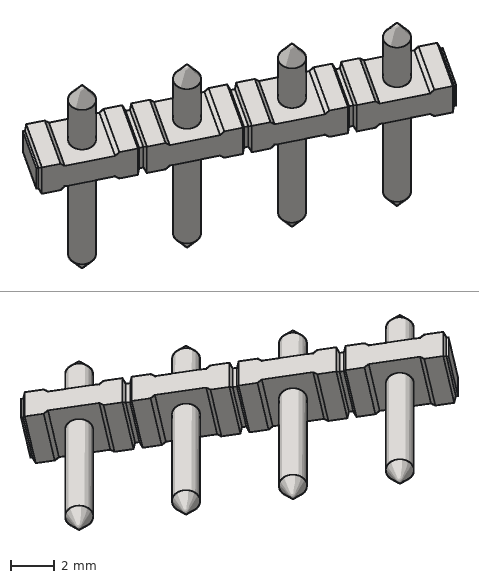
import cadquery as cq
import math

pin_count = 4
pitch = 5.0

block_width = 2.8
block_height = 1.8
neck_length = 0.1
bevel_inset = 0.2
bevel_angle = 30.0
groove_depth = 0.2
groove_floor = 2.4
groove_mouth = groove_floor + 2 * groove_depth

pin_diameter = 1.3
pin_length = 12.5
tip_length = 1.0
pin_above_block = 3.5

row_length = pin_count * pitch
neck_width = block_width - 2 * bevel_inset
neck_height = block_height - 2 * bevel_inset
bevel_length = bevel_inset * math.tan(math.radians(bevel_angle))
body_length = pitch - 2 * (neck_length + bevel_length)
pin_top = block_height / 2 + pin_above_block
pin_bottom = pin_top - pin_length


def end_bevel(side):
    """Truncated pyramid from the block body out to the neck; side is +1 or -1 along Y."""
    return (
        cq.Workplane("XZ", origin=(0, side * body_length / 2, 0))
        .rect(block_width, block_height)
        .workplane(offset=-side * bevel_length)
        .rect(neck_width, neck_height)
        .loft(ruled=True)
    )


def groove(side):
    """Trapezoidal groove across the block; side is +1 for the top face, -1 for the bottom."""
    surface = side * block_height / 2
    floor = surface - side * groove_depth
    return (
        cq.Workplane("YZ")
        .polyline([
            (-groove_mouth / 2, surface),
            (-groove_floor / 2, floor),
            (groove_floor / 2, floor),
            (groove_mouth / 2, surface),
        ])
        .close()
        .extrude(block_width / 2, both=True)
    )


def block():
    """Block body with beveled ends and a groove in the top and bottom faces."""
    body = cq.Workplane("XY").box(block_width, body_length, block_height)
    for side in (1, -1):
        body = body.union(end_bevel(side)).cut(groove(side))
    return body


def pin():
    """Round pin with a conical point at both ends, revolved about Z."""
    radius = pin_diameter / 2
    return (
        cq.Workplane("XZ")
        .polyline([
            (0, pin_bottom),
            (radius, pin_bottom + tip_length),
            (radius, pin_top - tip_length),
            (0, pin_top),
        ])
        .close()
        .revolve(360, (0, 0, 0), (0, 1, 0))
    )


result = cq.Workplane("XY").box(neck_width, row_length, neck_height)
module = block().union(pin())
for index in range(pin_count):
    module_center = (index - (pin_count - 1) / 2) * pitch
    result = result.union(module.translate((0, module_center, 0)))